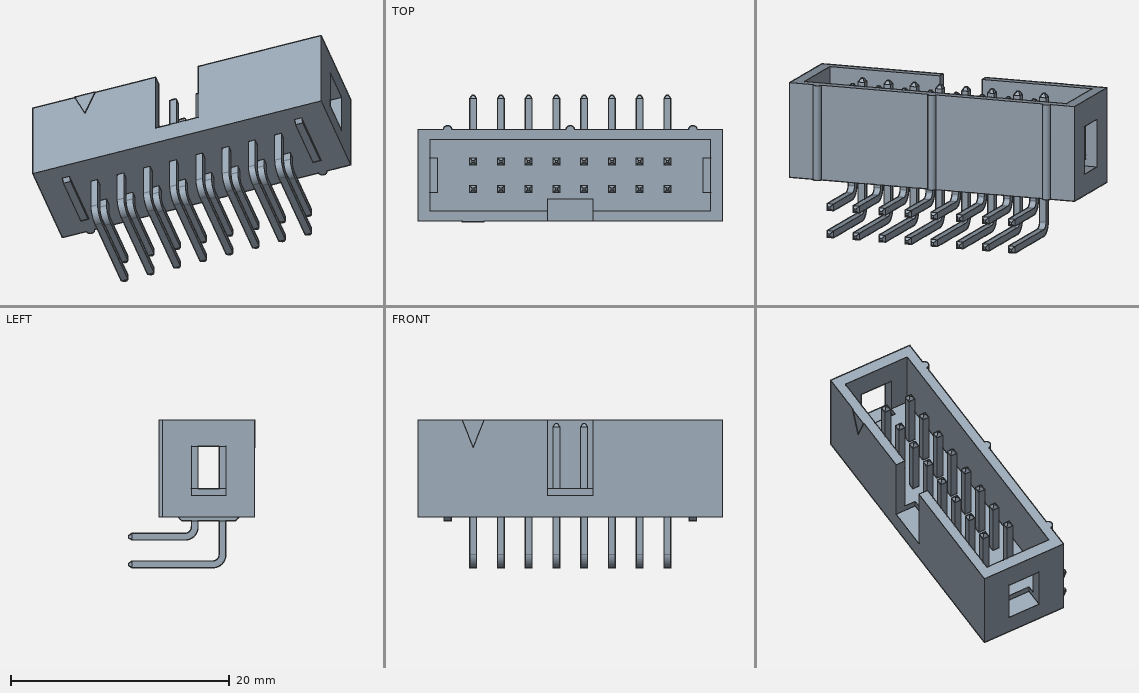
import cadquery as cq
import math


PITCH = 2.54
COLUMNS = 8
PIN_WIDTH = 0.64
TIP_LENGTH = 0.34
TIP_WIDTH = 0.2

HOUSING_LENGTH = 27.91
HOUSING_WIDTH = 8.4
HOUSING_HEIGHT = 8.9
END_WALL = 1.11
SIDE_WALL = 0.92
FLOOR_Z = 2.62
FRONT_FACE_Y = -HOUSING_WIDTH / 2
BACK_FACE_Y = HOUSING_WIDTH / 2

OPENING_BOTTOM_Z = 2.0
WINDOW_TOP_Z = 6.48
WINDOW_WIDTH = PITCH + PIN_WIDTH
WINDOW_FLOOR_REACH = 0.7
NOTCH_WIDTH = 4.12
NOTCH_FLOOR_REACH = 1.1

MARK_WIDTH = 2.0
MARK_HEIGHT = 2.52
MARK_THICKNESS = 0.06

RIB_RADIUS = 0.4
RIB_PROTRUSION = 0.36
OUTER_RIB_X = 11.23
STANDOFF_WIDTH = 0.7
STANDOFF_LENGTH = 5.6
STANDOFF_HEIGHT = 0.34

PIN_TOP_Z = HOUSING_HEIGHT - 0.32
LEAD_END_Y = BACK_FACE_Y + 3.15
LOWEST_LEAD_Z = -4.65
FRONT_LEAD_Z = LOWEST_LEAD_Z + PIN_WIDTH / 2
BEND_INNER_RADIUS = 0.58

COLUMN_XS = [(i - (COLUMNS - 1) / 2) * PITCH for i in range(COLUMNS)]


def box_between(x_range, y_range, z_range):
    """Box spanning the given (low, high) limits on each axis."""
    corner = (x_range[0], y_range[0], z_range[0])
    size = [high - low for low, high in (x_range, y_range, z_range)]
    return cq.Workplane("XY").box(*size, centered=False).translate(corner)


def make_housing():
    """Open-topped shroud with end windows and a polarising notch."""
    half_length = HOUSING_LENGTH / 2
    cavity_half_length = half_length - END_WALL
    cavity_half_width = HOUSING_WIDTH / 2 - SIDE_WALL

    housing = box_between(
        (-half_length, half_length), (FRONT_FACE_Y, BACK_FACE_Y), (0, HOUSING_HEIGHT)
    )
    cavity = box_between(
        (-cavity_half_length, cavity_half_length),
        (-cavity_half_width, cavity_half_width),
        (FLOOR_Z, HOUSING_HEIGHT),
    )
    notch = box_between(
        (-NOTCH_WIDTH / 2, NOTCH_WIDTH / 2),
        (FRONT_FACE_Y, -cavity_half_width + NOTCH_FLOOR_REACH),
        (OPENING_BOTTOM_Z, HOUSING_HEIGHT),
    )
    window = box_between(
        (-half_length, -cavity_half_length + WINDOW_FLOOR_REACH),
        (-WINDOW_WIDTH / 2, WINDOW_WIDTH / 2),
        (OPENING_BOTTOM_Z, WINDOW_TOP_Z),
    )
    return housing.cut(cavity).cut(notch).cut(window).cut(window.mirror("YZ"))


def make_pin_one_mark():
    """Raised triangle pointing down at the first column of pins."""
    first_x = COLUMN_XS[0]
    return (
        cq.Workplane("XZ", origin=(0, FRONT_FACE_Y, 0))
        .moveTo(first_x - MARK_WIDTH / 2, HOUSING_HEIGHT)
        .lineTo(first_x + MARK_WIDTH / 2, HOUSING_HEIGHT)
        .lineTo(first_x, HOUSING_HEIGHT - MARK_HEIGHT)
        .close()
        .extrude(MARK_THICKNESS)
    )


def make_ribs():
    """Three full-height half-round ribs on the back face."""
    axis_y = BACK_FACE_Y + RIB_PROTRUSION - RIB_RADIUS
    rib_centres = [(x, axis_y) for x in (-OUTER_RIB_X, 0, OUTER_RIB_X)]
    return (
        cq.Workplane("XY").pushPoints(rib_centres).circle(RIB_RADIUS).extrude(HOUSING_HEIGHT)
    )


def make_standoff(x):
    """Narrow foot under the housing with 45 degree ends."""
    top_half = STANDOFF_LENGTH / 2
    bottom_half = top_half - STANDOFF_HEIGHT
    return (
        cq.Workplane("YZ", origin=(x - STANDOFF_WIDTH / 2, 0, 0))
        .moveTo(-top_half, 0)
        .lineTo(top_half, 0)
        .lineTo(bottom_half, -STANDOFF_HEIGHT)
        .lineTo(-bottom_half, -STANDOFF_HEIGHT)
        .close()
        .extrude(STANDOFF_WIDTH)
    )


def make_tip(base):
    """Truncated pyramid ending a square pin, built on the base workplane."""
    return (
        base.rect(PIN_WIDTH, PIN_WIDTH)
        .workplane(offset=TIP_LENGTH)
        .rect(TIP_WIDTH, TIP_WIDTH)
        .loft(ruled=True)
    )


def make_contact(pin_y, lead_z):
    """Square contact at X = 0: upright pin, quarter bend and rearward lead."""
    half = PIN_WIDTH / 2
    bend_outer_radius = BEND_INNER_RADIUS + PIN_WIDTH
    bend_y = pin_y + half + BEND_INNER_RADIUS
    bend_z = lead_z + half + BEND_INNER_RADIUS
    pin_shoulder_z = PIN_TOP_Z - TIP_LENGTH
    lead_shoulder_y = LEAD_END_Y - TIP_LENGTH
    diagonal = math.cos(math.radians(45))
    outer_mid = (bend_y - bend_outer_radius * diagonal, bend_z - bend_outer_radius * diagonal)
    inner_mid = (bend_y - BEND_INNER_RADIUS * diagonal, bend_z - BEND_INNER_RADIUS * diagonal)

    bent_bar = (
        cq.Workplane("YZ", origin=(-half, 0, 0))
        .moveTo(pin_y - half, pin_shoulder_z)
        .lineTo(pin_y - half, bend_z)
        .threePointArc(outer_mid, (bend_y, lead_z - half))
        .lineTo(lead_shoulder_y, lead_z - half)
        .lineTo(lead_shoulder_y, lead_z + half)
        .lineTo(bend_y, lead_z + half)
        .threePointArc(inner_mid, (pin_y + half, bend_z))
        .lineTo(pin_y + half, pin_shoulder_z)
        .close()
        .extrude(PIN_WIDTH)
    )
    pin_tip = make_tip(cq.Workplane("XY", origin=(0, pin_y, pin_shoulder_z)))
    lead_plane = cq.Plane(origin=(0, lead_shoulder_y, lead_z), xDir=(1, 0, 0), normal=(0, 1, 0))
    lead_tip = make_tip(cq.Workplane(lead_plane))
    return bent_bar.union(pin_tip).union(lead_tip)


result = make_housing().union(make_pin_one_mark()).union(make_ribs())
for standoff_x in (-OUTER_RIB_X, OUTER_RIB_X):
    result = result.union(make_standoff(standoff_x))

front_contact = make_contact(-PITCH / 2, FRONT_LEAD_Z)
rear_contact = make_contact(PITCH / 2, FRONT_LEAD_Z + PITCH)
for column_x in COLUMN_XS:
    for contact in (front_contact, rear_contact):
        result = result.union(contact.translate((column_x, 0, 0)))